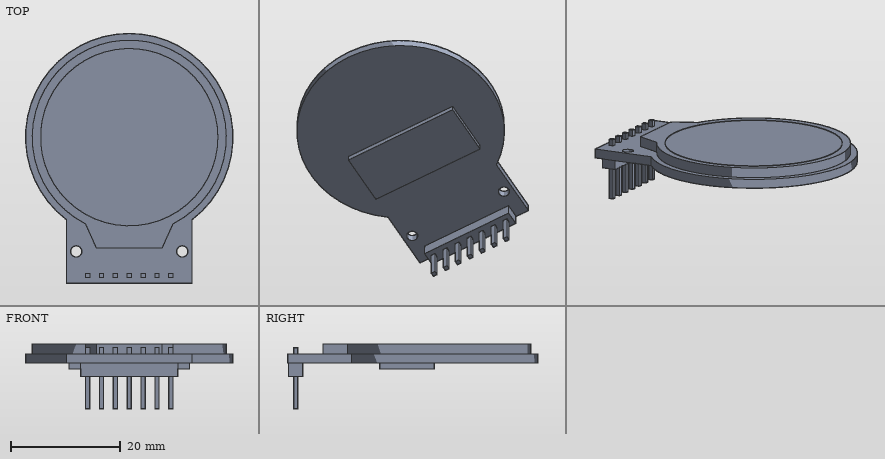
import cadquery as cq

total_length = 45.75
board_diameter = 37.95
board_thickness = 1.7
tab_width = 22.95
tab_end_y = board_diameter / 2 - total_length
hole_diameter = 2.0
hole_spacing = 19.4
hole_y = -20.9

display_radius = 17.75
display_thickness = 1.85
foot_root_width = 16.0
foot_end_width = 12.0
foot_end_y = -20.3
screen_diameter = 32.4
screen_recess = 0.1

block_width = 22.05
block_length = 10.0
block_height = 1.1
block_center_y = -4.95

pin_count = 7
pin_pitch = 2.54
pin_size = 0.8
pin_above_board = 1.15
pin_below_board = 8.35
header_width = pin_count * pin_pitch
header_depth = 2.65
header_height = 2.45
header_y = -25.3


def box_between(width, depth, center_y, bottom, top):
    """Box centred on X = 0 that spans the heights bottom to top."""
    return (
        cq.Workplane("XY", origin=(0, center_y, bottom))
        .rect(width, depth)
        .extrude(top - bottom)
    )


def make_board():
    disc = cq.Workplane("XY").circle(board_diameter / 2).extrude(-board_thickness)
    tab = box_between(tab_width, -tab_end_y, tab_end_y / 2, -board_thickness, 0)
    holes = (
        cq.Workplane("XY")
        .pushPoints([(side * hole_spacing / 2, hole_y) for side in (-1, 1)])
        .circle(hole_diameter / 2)
        .extrude(-board_thickness)
    )
    return disc.union(tab).cut(holes)


def make_display():
    foot_root_y = -((display_radius**2 - (foot_root_width / 2) ** 2) ** 0.5)
    outline = (
        cq.Workplane("XY")
        .moveTo(-foot_root_width / 2, foot_root_y)
        .threePointArc((0, display_radius), (foot_root_width / 2, foot_root_y))
        .lineTo(foot_end_width / 2, foot_end_y)
        .lineTo(-foot_end_width / 2, foot_end_y)
        .close()
    )
    recess = (
        cq.Workplane("XY", origin=(0, 0, display_thickness))
        .circle(screen_diameter / 2)
        .extrude(-screen_recess)
    )
    return outline.extrude(display_thickness).cut(recess)


def make_pins():
    return (
        cq.Workplane("XY", origin=(0, header_y, -board_thickness - pin_below_board))
        .rarray(pin_pitch, 0.45, pin_count, 1)
        .rect(pin_size, pin_size)
        .extrude(pin_below_board + board_thickness + pin_above_board)
    )


block = box_between(
    block_width, block_length, block_center_y, -board_thickness - block_height, -board_thickness
)
header = box_between(
    header_width, header_depth, header_y, -board_thickness - header_height, -board_thickness
)

result = make_board().union(make_display()).union(block).union(header).union(make_pins())